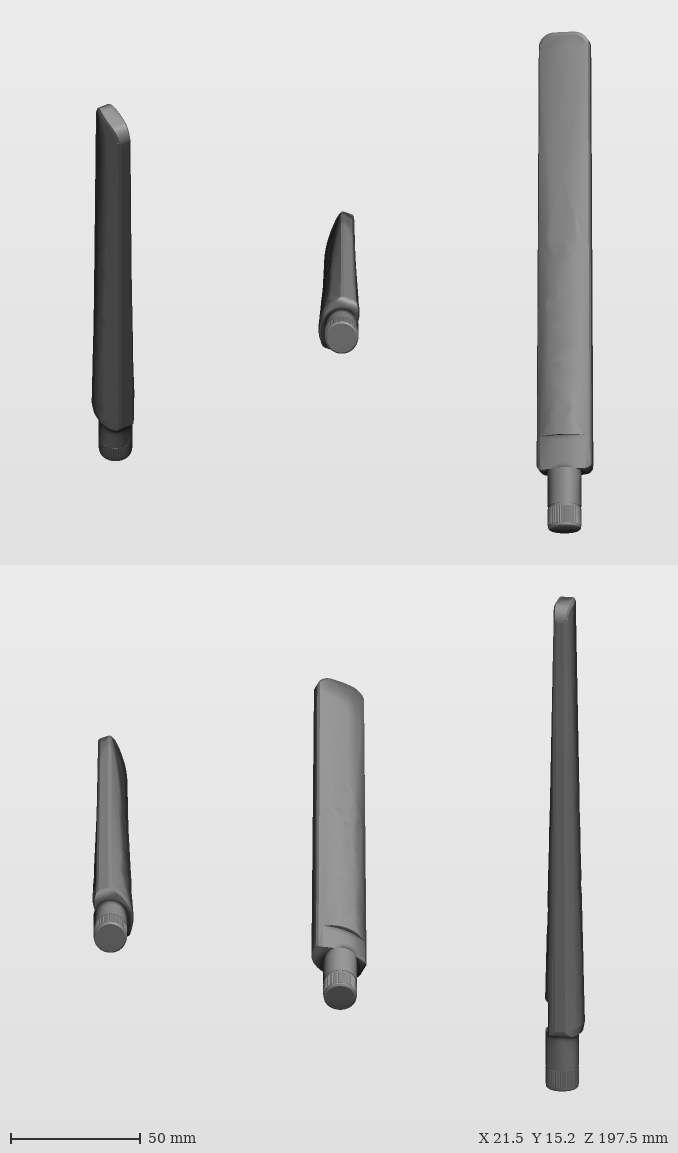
import cadquery as cq
import math

TOTAL_HEIGHT = 197.5
NUT_HEIGHT = 9.3
BLADE_BASE = 23.3

SHOULDER_HEIGHT = 26.7
FOOT_DRAFT = 0.5
SHOULDER_HALF_WIDTH = 21.5 / 2
SHOULDER_HALF_THICKNESS = 7.7
SHOULDER_RIM = 2.0
SHOULDER_BEVEL = (0.5, 1.2)
TIP_HALF_WIDTH = 20.0 / 2
TIP_HALF_THICKNESS = 3.5
TIP_RIM = 1.48
TIP_BEVEL = (0.5, 1.2)
TIP_CORNER_RADIUS = 6.0
FOOT_CORNER_RADIUS = 2.8
CROWN_DROP = 1.2
CROWN_INSET = 0.5

RELIEF_TOP = 36.5
RELIEF_FLOOR = 6.1
RELIEF_EDGE = (9.9, 4.0)

AXIS_OFFSET = 1.0
COLLAR_RADIUS = 6.5
NUT_RADIUS = 6.3
NUT_CHAMFER = 0.5
KNURL_BOTTOM = 1.5
KNURL_TOP = 8.3
KNURL_TIP_RADIUS = COLLAR_RADIUS
KNURL_TEETH = 60


def half_section(height, half_width, half_thickness, rim, bevel):
    """Outline of the front half at one height: flat rims, bevels and an arched face."""
    bevel_x, bevel_y = bevel
    face_x = half_width - bevel_x
    face_y = -rim - bevel_y
    return (
        cq.Workplane("XY", origin=(0, 0, height))
        .moveTo(half_width, 0)
        .lineTo(half_width, -rim)
        .lineTo(face_x, face_y)
        .threePointArc((0, -half_thickness), (-face_x, face_y))
        .lineTo(-half_width, -rim)
        .lineTo(-half_width, 0)
        .close()
        .wires()
        .val()
    )


def blade_outline():
    """Slab with the blade's width outline, rounded at the tip and foot corners."""
    slope = (SHOULDER_HALF_WIDTH - TIP_HALF_WIDTH) / (TOTAL_HEIGHT - SHOULDER_HEIGHT)
    foot_half_width = SHOULDER_HALF_WIDTH + slope * (SHOULDER_HEIGHT - BLADE_BASE)
    slab = (
        cq.Workplane("XZ")
        .polyline([
            (-foot_half_width, BLADE_BASE),
            (foot_half_width, BLADE_BASE),
            (TIP_HALF_WIDTH, TOTAL_HEIGHT),
            (-TIP_HALF_WIDTH, TOTAL_HEIGHT),
        ])
        .close()
        .extrude(2 * SHOULDER_HALF_THICKNESS, both=True)
    )
    slab = slab.edges("|Y and >Z").fillet(TIP_CORNER_RADIUS)
    return slab.edges("|Y and <Z").fillet(FOOT_CORNER_RADIUS)


def blade_half():
    """Front half of the blade, with its flat seam face on Y = 0."""
    foot = half_section(
        BLADE_BASE, SHOULDER_HALF_WIDTH, SHOULDER_HALF_THICKNESS - FOOT_DRAFT,
        SHOULDER_RIM, SHOULDER_BEVEL,
    )
    shoulder = half_section(
        SHOULDER_HEIGHT, SHOULDER_HALF_WIDTH, SHOULDER_HALF_THICKNESS,
        SHOULDER_RIM, SHOULDER_BEVEL,
    )
    tip = half_section(TOTAL_HEIGHT, TIP_HALF_WIDTH, TIP_HALF_THICKNESS, TIP_RIM, TIP_BEVEL)
    body = cq.Workplane(cq.Solid.makeLoft([foot, shoulder, tip], True))
    body = body.intersect(blade_outline())
    top_face = body.faces(">Z").val()
    front_edge = min(top_face.Edges(), key=lambda edge: edge.Center().y)
    chamfered = body.val().chamfer(CROWN_INSET, CROWN_DROP, [front_edge])
    return cq.Workplane(chamfered)


def back_relief():
    """Space behind the gently arched relief floor, from the foot up to the relief's top."""
    edge_x, edge_y = RELIEF_EDGE
    outer_x = 2 * edge_x
    outer_y = 2 * SHOULDER_HALF_THICKNESS
    return (
        cq.Workplane("XY", origin=(0, 0, BLADE_BASE))
        .moveTo(-edge_x, edge_y)
        .threePointArc((0, RELIEF_FLOOR), (edge_x, edge_y))
        .lineTo(outer_x, edge_y)
        .lineTo(outer_x, outer_y)
        .lineTo(-outer_x, outer_y)
        .lineTo(-outer_x, edge_y)
        .close()
        .extrude(RELIEF_TOP - BLADE_BASE)
    )


def collar():
    """Plain round sleeve between nut and blade."""
    return (
        cq.Workplane("XY", origin=(0, AXIS_OFFSET, NUT_HEIGHT))
        .circle(COLLAR_RADIUS)
        .extrude(BLADE_BASE - NUT_HEIGHT)
    )


def knurl():
    """Band of straight V-shaped teeth around the nut."""
    points = []
    for step in range(2 * KNURL_TEETH):
        radius = KNURL_TIP_RADIUS if step % 2 == 0 else NUT_RADIUS
        angle = math.pi * step / KNURL_TEETH
        points.append((radius * math.cos(angle), radius * math.sin(angle)))
    return (
        cq.Workplane("XY", origin=(0, AXIS_OFFSET, KNURL_BOTTOM))
        .polyline(points)
        .close()
        .extrude(KNURL_TOP - KNURL_BOTTOM)
    )


def knurled_nut():
    """Round nut, chamfered at the bottom, with a knurled grip."""
    nut = (
        cq.Workplane("XY", origin=(0, AXIS_OFFSET, 0))
        .circle(NUT_RADIUS)
        .extrude(NUT_HEIGHT)
        .faces("<Z")
        .chamfer(NUT_CHAMFER)
    )
    return nut.union(knurl())


front_half = blade_half()
back_half = front_half.mirror("XZ").cut(back_relief())
sleeve = collar()
nut = knurled_nut()

result = cq.Compound.makeCompound([front_half.val(), back_half.val(), sleeve.val(), nut.val()])